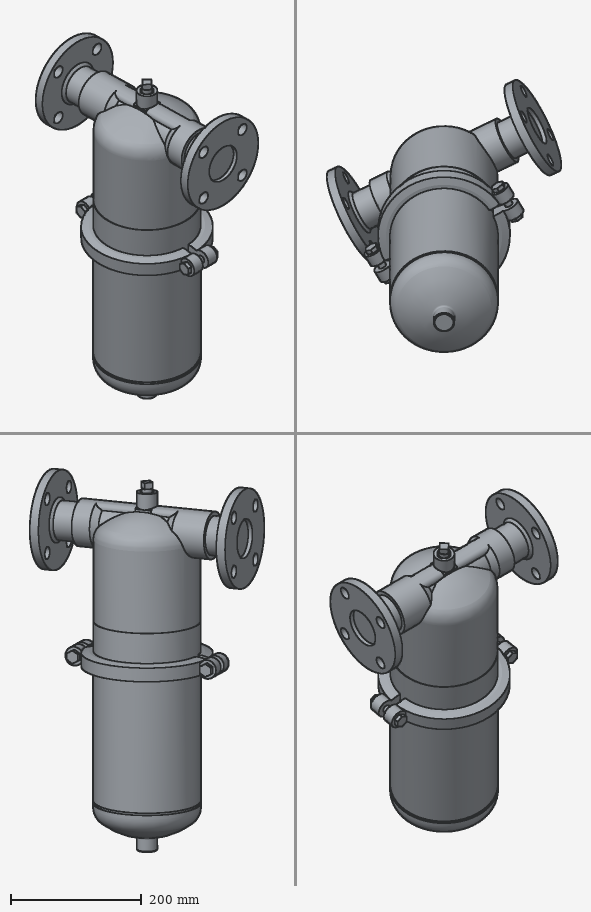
import cadquery as cq
import math

head_diameter = 164.0
collar_diameter = 165.0
bowl_diameter = 165.5
crown_radius = 116.5
dome_height = 46.5
bottom_apex_z = 21.5
bottom_side_z = bottom_apex_z + dome_height
bottom_seam_z = 74.5
bottom_seam_width = 3.5
seam_depth = 0.5
collar_top_z = 361.0
top_apex_z = 536.5
top_side_z = top_apex_z - dome_height
boss_diameter = 32.0
drain_chamfer = 2.0
drain_fillet = 3.0

overall_length = 324.0
overall_height = 583.0
flange_diameter = 155.0
flange_thickness = 14.5
pipe_z = overall_height - flange_diameter / 2
pipe_diameter = 61.0
port_diameter = 60.5
port_depth = 7.0
neck_weld = 4.5
bolt_hole_diameter = 19.0
bolt_hole_count = 4
bolt_circle_radius = 60.0
sleeve_diameter = 74.0
sleeve_outer_x = 109.5
left_sleeve_inner_x = -56.0
right_sleeve_inner_x = 80.0
sleeve_taper_length = 12.0
rib_fillet = 8.0

vent_seat_length = 26.0
vent_top_z = 564.0
vent_hole_diameter = 21.0
vent_hole_depth = 2.0
plug_top_z = 579.5
plug_head_height = 10.0
plug_neck_diameter = 16.5
plug_square = 14.0

clamp_z = 300.0
clamp_diameter = 202.0
clamp_lip_diameter = 178.0
clamp_rim_height = 21.5
clamp_lip_height = 27.0
clamp_gap = 11.5
lug_diameter = 30.0
lug_length = 19.0
lug_x = 110.0
bolt_diameter = 12.0
bolt_head_flats = 18.0
bolt_head_height = 7.0


def cylinder_x(diameter, x_start, x_end):
    """Cylinder on the pipe axis between two X positions."""
    plane = cq.Workplane("YZ", origin=(x_start, 0, pipe_z))
    return plane.circle(diameter / 2).extrude(x_end - x_start)


def cone_x(x_start, diameter_start, x_end, diameter_end):
    """Cone frustum on the pipe axis between two X positions."""
    start = cq.Vector(x_start, 0, pipe_z)
    direction = cq.Vector(x_end - x_start, 0, 0)
    cone = cq.Solid.makeCone(diameter_start / 2, diameter_end / 2, direction.Length, start, direction)
    return cq.Workplane(cone)


def dome_points(side_radius):
    """Points of a dished end as (radius, height above its side).

    They are the middle of the knuckle, its end, and the middle of the crown.
    """
    centre_drop = crown_radius - dome_height
    knuckle = (crown_radius**2 - side_radius**2 - centre_drop**2) / (2 * (crown_radius - side_radius))
    knuckle_centre = side_radius - knuckle
    join_angle = math.atan2(centre_drop, knuckle_centre)
    knuckle_middle = (
        knuckle_centre + knuckle * math.cos(join_angle / 2),
        knuckle * math.sin(join_angle / 2),
    )
    knuckle_end = (
        crown_radius * math.cos(join_angle),
        crown_radius * math.sin(join_angle) - centre_drop,
    )
    crown_angle = (join_angle + math.pi / 2) / 2
    crown_middle = (
        crown_radius * math.cos(crown_angle),
        crown_radius * math.sin(crown_angle) - centre_drop,
    )
    return knuckle_middle, knuckle_end, crown_middle


def make_shell():
    """Solid of revolution: bottom dome, bowl with a shallow seam groove, collar, head and top dome."""
    head_radius = head_diameter / 2
    collar_radius = collar_diameter / 2
    bowl_radius = bowl_diameter / 2
    seam_top_z = bottom_seam_z + bottom_seam_width
    bottom = [(r, bottom_side_z - h) for r, h in dome_points(bowl_radius)]
    top = [(r, top_side_z + h) for r, h in dome_points(head_radius)]
    return (
        cq.Workplane("XZ")
        .moveTo(0, bottom_apex_z)
        .threePointArc(bottom[2], bottom[1])
        .threePointArc(bottom[0], (bowl_radius, bottom_side_z))
        .lineTo(bowl_radius, bottom_seam_z)
        .lineTo(bowl_radius - seam_depth, bottom_seam_z)
        .lineTo(bowl_radius - seam_depth, seam_top_z)
        .lineTo(bowl_radius, seam_top_z)
        .lineTo(bowl_radius, clamp_z)
        .lineTo(collar_radius, clamp_z)
        .lineTo(collar_radius, collar_top_z)
        .lineTo(head_radius, collar_top_z)
        .lineTo(head_radius, top_side_z)
        .threePointArc(top[0], top[1])
        .threePointArc(top[2], (0, top_apex_z))
        .close()
        .revolve(360, (0, 0, 0), (0, 1, 0))
    )


def make_drain():
    """Stub at the bottom, running up into the dome."""
    stub = cq.Workplane("XY").circle(boss_diameter / 2).extrude(bottom_side_z)
    return stub.faces("<Z").chamfer(drain_chamfer)


def make_flange(side):
    """Blind pipe flange with a weld cone behind it; side is -1 or 1."""
    face_x = side * overall_length / 2
    back_x = face_x - side * flange_thickness
    weld_end_x = back_x - side * neck_weld
    flange = cylinder_x(flange_diameter, face_x, back_x)
    port = cylinder_x(port_diameter, face_x, face_x - side * port_depth)
    bolt_holes = (
        cq.Workplane("YZ", origin=(face_x, 0, pipe_z))
        .polarArray(bolt_circle_radius, 180 / bolt_hole_count, 360, bolt_hole_count)
        .circle(bolt_hole_diameter / 2)
        .extrude(back_x - face_x)
    )
    weld = cone_x(back_x, pipe_diameter + 2 * neck_weld, weld_end_x, pipe_diameter)
    return flange.cut(port).cut(bolt_holes).union(weld)


def make_sleeve(outer_x, inner_x):
    """Thicker pipe section that tapers to the pipe at its inner end."""
    toward_axis = math.copysign(sleeve_taper_length, inner_x - outer_x)
    taper = cone_x(inner_x, sleeve_diameter, inner_x + toward_axis, pipe_diameter)
    return cylinder_x(sleeve_diameter, outer_x, inner_x).union(taper)


def make_rib_bar(x_start, x_end):
    """Bar as wide as the vent boss along the top of the pipe, rounded to the sleeve diameter."""
    bar = cq.Workplane("XY", origin=(x_start, 0, pipe_z)).box(
        x_end - x_start, boss_diameter, sleeve_diameter / 2, centered=(False, True, False)
    )
    return bar.intersect(cylinder_x(sleeve_diameter, x_start, x_end))


def make_rib():
    """Rib between the sleeves with filleted edges, left sharp in a short seat under the vent boss."""
    rib = make_rib_bar(left_sleeve_inner_x, right_sleeve_inner_x)
    rib = rib.edges("|X").edges(">Z").fillet(rib_fillet)
    return rib.union(make_rib_bar(-vent_seat_length / 2, vent_seat_length / 2))


def make_vent():
    """Boss on the rib, closed by a square-headed plug."""
    boss = cq.Workplane("XY", origin=(0, 0, pipe_z)).circle(boss_diameter / 2).extrude(vent_top_z - pipe_z)
    head_z = plug_top_z - plug_head_height
    recess_z = vent_top_z - vent_hole_depth
    recess_plane = cq.Workplane("XY", origin=(0, 0, recess_z))
    recess = recess_plane.circle(vent_hole_diameter / 2).extrude(vent_hole_depth)
    neck_plane = cq.Workplane("XY", origin=(0, 0, recess_z))
    neck = neck_plane.circle(plug_neck_diameter / 2).extrude(head_z - recess_z)
    head_plane = cq.Workplane("XY", origin=(0, 0, head_z))
    square = head_plane.transformed(rotate=(0, 0, 45)).rect(plug_square, plug_square).extrude(plug_head_height)
    return boss.cut(recess).union(neck).union(square)


def make_housing():
    """Vessel with its pipe, flanges, drain and vent."""
    pipe_end_x = overall_length / 2 - flange_thickness
    pipe = cylinder_x(pipe_diameter, -pipe_end_x, pipe_end_x)
    pipe = pipe.union(make_sleeve(-sleeve_outer_x, left_sleeve_inner_x))
    pipe = pipe.union(make_sleeve(sleeve_outer_x, right_sleeve_inner_x))
    housing = make_shell().union(pipe)
    housing = housing.union(make_drain())
    drain_root = cq.selectors.NearestToPointSelector((0, 0, bottom_apex_z))
    housing = housing.edges(drain_root).fillet(drain_fillet)
    for side in (-1, 1):
        housing = housing.union(make_flange(side))
    return housing.union(make_rib()).union(make_vent())


def make_clamp_ring():
    """Ring with sloping flanks, bored to fit the bowl below and the collar above its middle."""
    rim_radius = clamp_diameter / 2
    lip_radius = clamp_lip_diameter / 2
    bowl_radius = bowl_diameter / 2
    collar_radius = collar_diameter / 2
    outline = [
        (bowl_radius, -clamp_lip_height / 2),
        (lip_radius, -clamp_lip_height / 2),
        (rim_radius, -clamp_rim_height / 2),
        (rim_radius, clamp_rim_height / 2),
        (lip_radius, clamp_lip_height / 2),
        (collar_radius, clamp_lip_height / 2),
        (collar_radius, 0),
        (bowl_radius, 0),
    ]
    section = cq.Workplane("XZ", origin=(0, 0, clamp_z)).polyline(outline).close()
    return section.revolve(360, (0, 0, 0), (0, 1, 0))


def make_lug_pair(side):
    """Cylinder for the two lugs, one on each half ring, before the gap parts them; side is -1 or 1."""
    span = clamp_gap + 2 * lug_length
    plane = cq.Workplane("XZ", origin=(side * lug_x, span / 2, clamp_z))
    return plane.circle(lug_diameter / 2).extrude(span)


def make_bolt(side):
    """Clamp bolt along Y with a hexagon at each end; side is -1 or 1."""
    lug_end_y = clamp_gap / 2 + lug_length
    length = 2 * (lug_end_y + bolt_head_height)
    corner_diameter = bolt_head_flats / math.cos(math.pi / 6)
    plane = cq.Workplane("XZ", origin=(side * lug_x, length / 2, clamp_z))
    shank = plane.circle(bolt_diameter / 2).extrude(length)
    hexagon = plane.transformed(rotate=(0, 0, 90)).polygon(6, corner_diameter)
    head = hexagon.extrude(bolt_head_height)
    far_head = head.translate((0, bolt_head_height - length, 0))
    return shank.union(head).union(far_head)


def make_clamp():
    """Split ring with lugs, held together by its two bolts."""
    clamp = make_clamp_ring()
    bore = cq.Workplane("XY").circle(bowl_diameter / 2).extrude(top_side_z)
    for side in (-1, 1):
        clamp = clamp.union(make_lug_pair(side).cut(bore))
    gap_plane = cq.Workplane("XY", origin=(0, 0, clamp_z))
    gap = gap_plane.box(2 * clamp_diameter, clamp_gap, 2 * lug_diameter)
    clamp = clamp.cut(gap)
    for side in (-1, 1):
        clamp = clamp.union(make_bolt(side))
    return clamp


housing = make_housing()
clamp = make_clamp()
result = cq.Compound.makeCompound([housing.val(), clamp.val()])